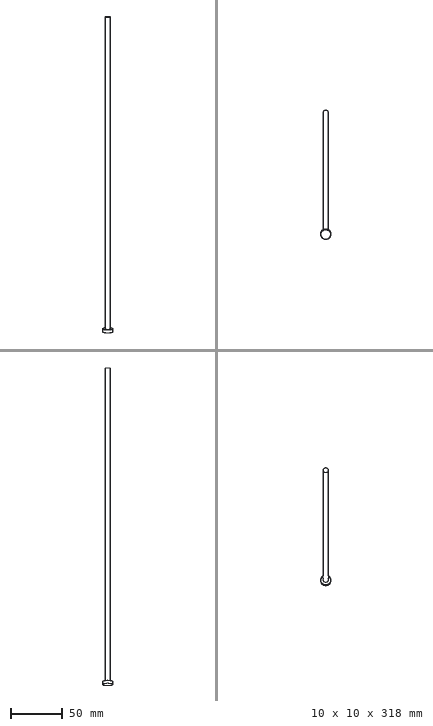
import cadquery as cq

TOTAL_LENGTH = 318.0
HEAD_DIAMETER = 10.0
HEAD_THICKNESS = 3.0
SHANK_DIAMETER = 5.0


def make_head():
    return cq.Workplane("XY").circle(HEAD_DIAMETER / 2).extrude(HEAD_THICKNESS)


def make_shank():
    shank_length = TOTAL_LENGTH - HEAD_THICKNESS
    shank_base = cq.Workplane("XY").workplane(offset=HEAD_THICKNESS)
    return shank_base.circle(SHANK_DIAMETER / 2).extrude(shank_length)


result = make_head().union(make_shank())